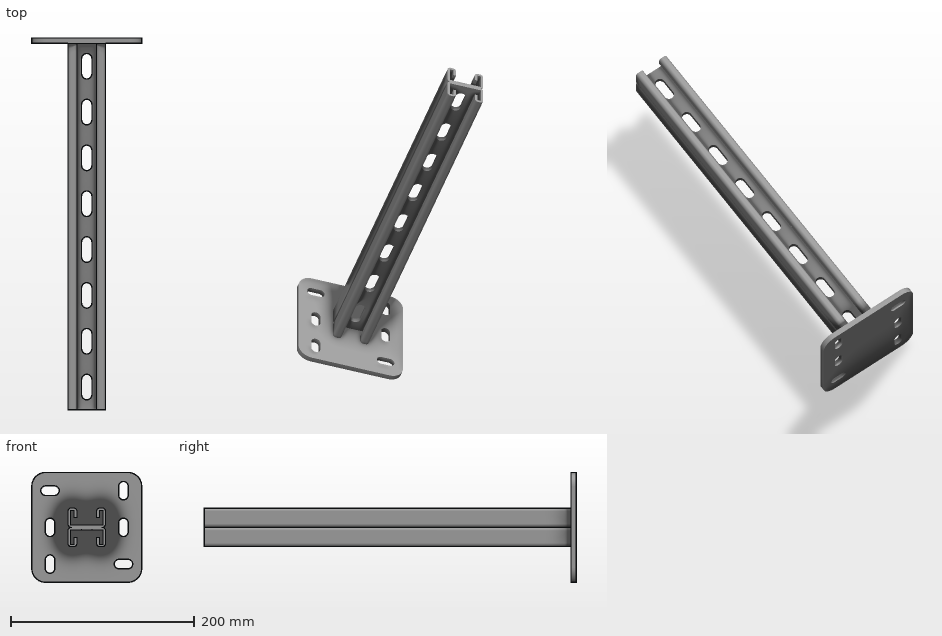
import cadquery as cq

total_length = 406.0

plate_side = 120.0
plate_thickness = plate_side / 20
plate_corner_radius = 15.5
plate_slot_length = 20.0
plate_slot_width = 10.0
plate_slot_offset = plate_side / 3

arm_length = total_length - plate_thickness
arm_width = 41.0
arm_height = 42.2
wall = 2.65
bend_radius = 3.5
lip_reach = 9.7
lip_thickness = 3.05
lip_depth = 10.0

arm_slot_count = 8
arm_slot_pitch = arm_length / arm_slot_count
arm_slot_length = 27.5
arm_slot_width = 11.0

plate_slots = [
    (-1, 1, 0),
    (-1, 0, 90),
    (-1, -1, 90),
    (1, 1, 90),
    (1, 0, 90),
    (1, -1, 0),
]


def bar(width, height, z_bottom, x_center=0):
    """Square-edged bar along Y, from the front of the plate to the free end of the arm."""
    return (
        cq.Workplane("XZ")
        .center(x_center, z_bottom + height / 2)
        .rect(width, height)
        .extrude(arm_length)
    )


def make_channel():
    """C channel resting on Z = 0, with its open side up and its lips turned inward."""
    height = arm_height / 2
    opening_width = arm_width - 2 * lip_reach
    channel = bar(arm_width, height, 0).cut(bar(opening_width, height, wall))

    bends = channel.edges("|Y and (>Z or <X or >X)")
    channel = bends.fillet(bend_radius)

    channel = channel.cut(bar(arm_width - 2 * wall, height - wall - lip_depth, wall))
    gap_width = lip_reach - wall - lip_thickness
    gap_center = arm_width / 2 - wall - gap_width / 2
    for x_center in (-gap_center, gap_center):
        channel = channel.cut(bar(gap_width, height - 2 * wall, wall, x_center))
    return channel


def make_arm():
    """Two channels back to back, with a row of slots through both webs."""
    channel = make_channel()
    arm = channel.union(channel.mirror("XY"))
    slot_places = [(0, -(i + 0.5) * arm_slot_pitch) for i in range(arm_slot_count)]
    slots = (
        cq.Workplane("XY")
        .pushPoints(slot_places)
        .slot2D(arm_slot_length, arm_slot_width, 90)
        .extrude(arm_height / 2, both=True)
    )
    return arm.cut(slots)


def make_plate():
    """Square plate behind the arm, with rounded corners and six slots."""
    plate = (
        cq.Workplane("XZ")
        .rect(plate_side, plate_side)
        .extrude(-plate_thickness)
        .edges("|Y")
        .fillet(plate_corner_radius)
    )
    for x_side, z_side, angle in plate_slots:
        slot = (
            cq.Workplane("XZ")
            .center(x_side * plate_slot_offset, z_side * plate_slot_offset)
            .slot2D(plate_slot_length, plate_slot_width, angle)
            .extrude(-plate_thickness)
        )
        plate = plate.cut(slot)
    return plate


result = make_plate().union(make_arm())